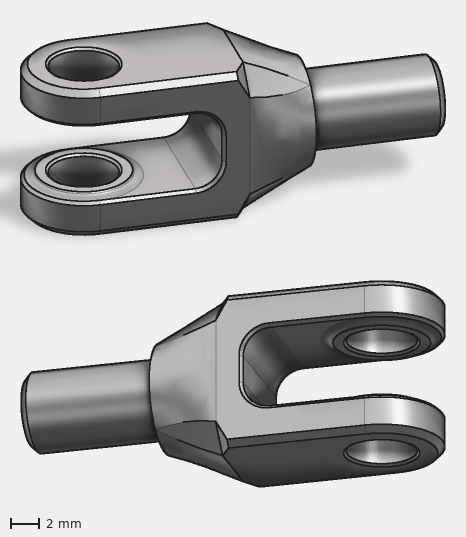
import cadquery as cq
import math

total_length = 30.5
fork_width = 9.0
fork_height = 11.6
half_width = fork_width / 2
half_height = fork_height / 2
outer_chamfer = 0.5

shaft_radius = 2.93
shaft_length = 9.95
shaft_chamfer = 0.5
shaft_end_y = total_length - half_width
neck_y = shaft_end_y - shaft_length

slot_height = 5.98
slot_radius = 1.98
slot_floor_y = 9.03
slot_chamfer = 0.25

hole_radius = 2.53
hole_chamfer = 0.18
ring_radius = 3.48
ring_rise = 0.37
ring_fillet_radius = 0.9
ring_face_z = slot_height / 2 - ring_rise

block_end_y = 11.0
neck_radius = 4.03
neck_corner_x = 2.45
neck_corner_z = math.sqrt(neck_radius**2 - neck_corner_x**2)
top_edge_half = 2.68
side_edge_half = 3.85
corner_cut_length = 1.13
top_seam_middle_x = 2.4
top_seam_middle_z = 4.58
side_seam_middle_x = 3.7
side_seam_middle_z = 3.32


def solid_from_faces(faces):
    return cq.Workplane(cq.Solid.makeSolid(cq.Shell.makeShell(faces)))


def polygon_face(*points):
    return cq.Face.makeFromWires(cq.Wire.makePolygon([cq.Vector(*p) for p in points], close=True))


def make_block():
    """Round-nosed block with chamfered rims, trimmed square at the transition."""
    rough_end_y = block_end_y + 2 * outer_chamfer
    block = (
        cq.Workplane("XY", origin=(0, 0, -half_height))
        .moveTo(-half_width, rough_end_y)
        .lineTo(-half_width, 0)
        .threePointArc((0, -half_width), (half_width, 0))
        .lineTo(half_width, rough_end_y)
        .close()
        .extrude(fork_height)
        .faces("<Z or >Z")
        .chamfer(outer_chamfer)
    )
    block_length = block_end_y + half_width
    trim = cq.Workplane("XY").box(fork_width, block_length, fork_height)
    return block.intersect(trim.translate((0, block_end_y - block_length / 2, 0)))


def cut_slot(block):
    """Open slot with rounded floor corners and chamfered rims."""
    slot_length = slot_floor_y + fork_width
    slot = (
        cq.Workplane("XY")
        .box(2 * fork_width, slot_length, slot_height)
        .translate((0, slot_floor_y - slot_length / 2, 0))
        .edges("|X and >Y")
        .fillet(slot_radius)
    )
    rim_zone = slot_height / 2 + slot_chamfer / 2
    rims = cq.selectors.BoxSelector(
        (-fork_width, -fork_width, -rim_zone),
        (fork_width, slot_floor_y + slot_chamfer, rim_zone),
    )
    not_across = cq.selectors.InverseSelector(cq.selectors.ParallelDirSelector(cq.Vector(1, 0, 0)))
    return block.cut(slot).edges(cq.selectors.AndSelector(rims, not_across)).chamfer(slot_chamfer)


def make_corner_cut(sx, sz):
    """Tetrahedron that bevels one rear corner of the block."""
    corner = (sx * half_width, block_end_y, sz * half_height)
    on_top = (sx * top_edge_half, block_end_y, sz * half_height)
    on_side = (sx * half_width, block_end_y, sz * side_edge_half)
    along = (sx * half_width, block_end_y - corner_cut_length, sz * half_height)
    return solid_from_faces([
        polygon_face(corner, on_top, on_side),
        polygon_face(corner, on_top, along),
        polygon_face(corner, on_side, along),
        polygon_face(on_top, on_side, along),
    ])


def make_transition():
    """Eight-sided section blending into a circle, with a bowed three-sided patch at each corner."""
    quadrants = [(1, 1), (1, -1), (-1, -1), (-1, 1)]
    tops = [cq.Vector(sx * top_edge_half, block_end_y, sz * half_height) for sx, sz in quadrants]
    sides = [cq.Vector(sx * half_width, block_end_y, sz * side_edge_half) for sx, sz in quadrants]
    necks = [cq.Vector(sx * neck_corner_x, neck_y, sz * neck_corner_z) for sx, sz in quadrants]
    middle_y = (block_end_y + neck_y) / 2
    top_seams = []
    side_seams = []
    faces = []
    for (sx, sz), top, side, neck in zip(quadrants, tops, sides, necks):
        top_middle = cq.Vector(sx * top_seam_middle_x, middle_y, sz * top_seam_middle_z)
        side_middle = cq.Vector(sx * side_seam_middle_x, middle_y, sz * side_seam_middle_z)
        top_seam = cq.Edge.makeThreePointArc(top, top_middle, neck)
        side_seam = cq.Edge.makeThreePointArc(side, side_middle, neck)
        bevel_edge = cq.Edge.makeLine(top, side)
        faces.append(cq.Face.makeNSidedSurface([top_seam, side_seam, bevel_edge], []))
        top_seams.append(top_seam)
        side_seams.append(side_seam)

    panels = [
        (0, 1, sides, side_seams, (neck_radius, neck_y, 0)),
        (1, 2, tops, top_seams, (0, neck_y, -neck_radius)),
        (2, 3, sides, side_seams, (-neck_radius, neck_y, 0)),
        (3, 0, tops, top_seams, (0, neck_y, neck_radius)),
    ]
    arcs = []
    for first, second, corners, seams, arc_middle in panels:
        line = cq.Edge.makeLine(corners[first], corners[second])
        arc = cq.Edge.makeThreePointArc(necks[first], cq.Vector(*arc_middle), necks[second])
        faces.append(cq.Face.makeNSidedSurface([line, seams[second], arc, seams[first]], []))
        arcs.append(arc)
    section = [tops[0], sides[0], sides[1], tops[1], tops[2], sides[2], sides[3], tops[3]]
    faces.append(polygon_face(*[point.toTuple() for point in section]))
    faces.append(cq.Face.makeFromWires(cq.Wire.assembleEdges(arcs)))
    return solid_from_faces(faces)


def make_shaft():
    return (
        cq.Workplane("XZ", origin=(0, neck_y, 0))
        .circle(shaft_radius)
        .extrude(-shaft_length)
        .faces(">Y")
        .chamfer(shaft_chamfer)
    )


def make_ring():
    """45 degree bevelled ring, filleted into the inner face of the upper arm, rooted inside the arm."""
    root_z = slot_height / 2 + slot_chamfer
    seat_z = slot_height / 2
    fillet_run = ring_fillet_radius * math.sin(math.pi / 4)
    fillet_rise = ring_fillet_radius * (1 - math.cos(math.pi / 4))
    bevel = ring_rise - fillet_rise
    base_radius = ring_radius + bevel + fillet_run
    fillet_middle = (
        base_radius - ring_fillet_radius * math.sin(math.pi / 8),
        seat_z - ring_fillet_radius * (1 - math.cos(math.pi / 8)),
    )
    return (
        cq.Workplane("XZ")
        .moveTo(0, ring_face_z)
        .lineTo(ring_radius, ring_face_z)
        .lineTo(ring_radius + bevel, ring_face_z + bevel)
        .threePointArc(fillet_middle, (base_radius, seat_z))
        .lineTo(base_radius, root_z)
        .lineTo(0, root_z)
        .close()
        .revolve(360, (0, 0, 0), (0, 1, 0))
    )


def make_eye_hole():
    """Hole through the upper arm, flared at both faces."""
    flare_radius = hole_radius + hole_chamfer
    return (
        cq.Workplane("XZ")
        .moveTo(0, ring_face_z)
        .lineTo(flare_radius, ring_face_z)
        .lineTo(hole_radius, ring_face_z + hole_chamfer)
        .lineTo(hole_radius, half_height - hole_chamfer)
        .lineTo(flare_radius, half_height)
        .lineTo(0, half_height)
        .close()
        .revolve(360, (0, 0, 0), (0, 1, 0))
    )


fork = cut_slot(make_block())
for side_x in (-1, 1):
    for side_z in (-1, 1):
        fork = fork.cut(make_corner_cut(side_x, side_z))

ring = make_ring()
eye_hole = make_eye_hole()
fork = fork.union(ring).union(ring.mirror("XY"))
fork = fork.cut(eye_hole).cut(eye_hole.mirror("XY"))

result = fork.union(make_transition()).union(make_shaft())